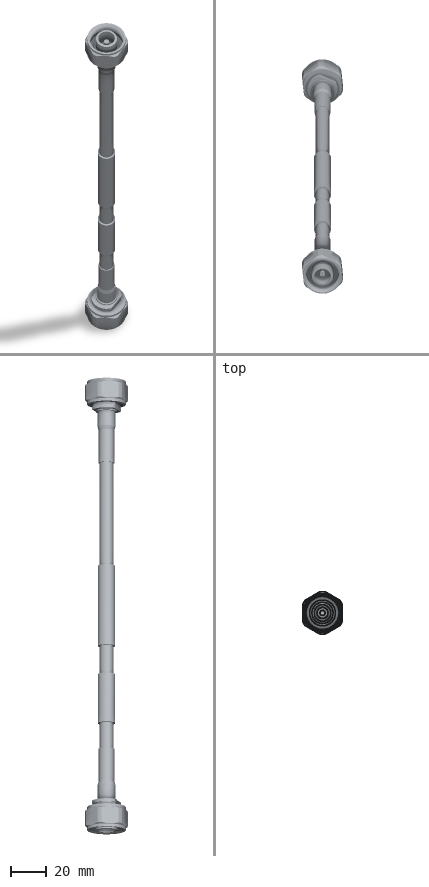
import cadquery as cq
import math

end_z = 129.5

nut_flats = 22.0
nut_corners = 24.0
nut_rim_dia = 21.8
nut_rim_length = 1.5
nut_bevel_length = 0.8
nut_bore_dia = 18.7
thread_groove_dia = 20.2
thread_pitch = 1.0
thread_turns = 5
nut_front_z = end_z - 0.3
nut_back_z = 116.1

socket_depth = 7.3
nose_dia = 12.0
nose_tip_dia = 10.0
nose_bevel_length = 0.3
nose_bore_dia = 9.3
nose_bore_depth = 9.0
gasket_section_dia = 1.3
insulator_dia = 6.2
insulator_height = 1.3
pin_dia = 2.9
pin_recess = 2.9

hub_dia = 16.0
flange_dia = 17.0
flange_front_z = 114.5
flange_back_z = 112.8
wrench_flats = 13.5
collar_dia = 12.0
collar_back_z = 112.0
ferrule_dia = 9.3
ferrule_back_z = 108.4

boot_wide_dia = 10.0
boot_narrow_dia = 8.8
boot_taper_top_z = 103.5
boot_taper_bottom_z = 101.0
boot_end_z = 82.5

cable_dia = 7.8
sleeve_dia = 9.9
sleeve_spans = [(-23.0, 23.0), (-67.7, -39.5)]


def cylinder(diameter, bottom_z, top_z):
    """Solid cylinder on the Z axis between two heights."""
    return cq.Workplane("XY", origin=(0, 0, bottom_z)).circle(diameter / 2).extrude(top_z - bottom_z)


def revolved(profile):
    """Solid of revolution about Z from (radius, z) points."""
    return cq.Workplane("XZ").polyline(profile).close().revolve(360, (0, 0, 0), (0, 1, 0))


def make_nut():
    """Hexagonal coupling nut blank with rounded corners and round end rims."""
    rim_radius = nut_rim_dia / 2
    corner_radius = nut_corners / 2
    bevel_back_z = nut_back_z + nut_rim_length
    bevel_front_z = nut_front_z - nut_rim_length
    envelope = revolved([
        (0, nut_back_z),
        (rim_radius, nut_back_z),
        (rim_radius, bevel_back_z),
        (corner_radius, bevel_back_z + nut_bevel_length),
        (corner_radius, bevel_front_z - nut_bevel_length),
        (rim_radius, bevel_front_z),
        (rim_radius, nut_front_z),
        (0, nut_front_z),
    ])
    half_side_angle = 30
    hexagon = (
        cq.Workplane("XY", origin=(0, 0, nut_back_z))
        .transformed(rotate=(0, 0, half_side_angle))
        .polygon(6, nut_flats / math.cos(math.radians(half_side_angle)))
        .extrude(nut_front_z - nut_back_z)
    )
    return envelope.intersect(hexagon)


def make_socket():
    """Annular space around the nose, with ring grooves for the thread opening at the nut's front."""
    bore_radius = nut_bore_dia / 2
    groove_radius = thread_groove_dia / 2
    floor_z = end_z - socket_depth
    outline = [(nose_dia / 2, floor_z), (bore_radius, floor_z)]
    lowest_crest_z = nut_front_z - (thread_turns - 0.5) * thread_pitch
    for groove in range(thread_turns):
        crest_z = lowest_crest_z + groove * thread_pitch
        outline.append((bore_radius, crest_z))
        outline.append((groove_radius, crest_z + thread_pitch / 2))
    outline += [(groove_radius, end_z), (nose_dia / 2, end_z)]
    return revolved(outline)


def make_nose_tip():
    """Beveled tip standing a little out of the nut."""
    shoulder_z = end_z - nose_bevel_length
    return revolved([
        (0, shoulder_z),
        (nose_dia / 2, shoulder_z),
        (nose_tip_dia / 2, end_z),
        (0, end_z),
    ])


def make_gasket_bead():
    """Round bead lying around the foot of the nose."""
    bead_radius = gasket_section_dia / 2
    ring_radius = nose_dia / 2 + bead_radius
    bead = cq.Solid.makeTorus(ring_radius, bead_radius, cq.Vector(0, 0, end_z - socket_depth))
    return cq.Workplane(bead)


def make_rear():
    """Hub and flange with two wrench flats, then a round collar and the ferrule under the boot."""
    hub = cylinder(hub_dia, flange_back_z, nut_back_z)
    flange = cylinder(flange_dia, flange_back_z, flange_front_z)
    flats = cq.Workplane("XY").box(wrench_flats, 2 * flange_dia, 2 * end_z)
    collar = cylinder(collar_dia, collar_back_z, flange_back_z)
    ferrule = cylinder(ferrule_dia, ferrule_back_z, collar_back_z)
    return hub.union(flange).intersect(flats).union(collar).union(ferrule)


def make_connector():
    """Upper connector: nut, mating nose with insulator and pin, and rear in one solid."""
    bore_floor_z = end_z - nose_bore_depth
    nose_bore = cylinder(nose_bore_dia, bore_floor_z, end_z)
    insulator = cylinder(insulator_dia, bore_floor_z, bore_floor_z + insulator_height)
    pin = cylinder(pin_dia, bore_floor_z, end_z - pin_recess)
    shell = make_nut().cut(make_socket()).union(make_nose_tip()).cut(nose_bore)
    return shell.union(make_gasket_bead()).union(insulator).union(pin).union(make_rear())


def make_boot():
    """Upper boot: wide over the connector end, tapering to the narrow part on the cable."""
    bore_radius = cable_dia / 2
    return revolved([
        (bore_radius, boot_end_z),
        (boot_narrow_dia / 2, boot_end_z),
        (boot_narrow_dia / 2, boot_taper_bottom_z),
        (boot_wide_dia / 2, boot_taper_top_z),
        (boot_wide_dia / 2, collar_back_z),
        (ferrule_dia / 2, collar_back_z),
        (ferrule_dia / 2, ferrule_back_z),
        (bore_radius, ferrule_back_z),
    ])


def make_sleeve(bottom_z, top_z):
    """Marker sleeve fitting around the cable."""
    bore = cylinder(cable_dia, bottom_z, top_z)
    return cylinder(sleeve_dia, bottom_z, top_z).cut(bore)


cable = cylinder(cable_dia, -ferrule_back_z, ferrule_back_z)
sleeves = [make_sleeve(bottom_z, top_z) for bottom_z, top_z in sleeve_spans]

connectors = []
boots = []
for turn in (0, 180):
    connectors.append(make_connector().rotate((0, 0, 0), (1, 0, 0), turn))
    boots.append(make_boot().rotate((0, 0, 0), (1, 0, 0), turn))

bodies = [cable, *sleeves, *connectors, *boots]
result = cq.Compound.makeCompound([body.val() for body in bodies])